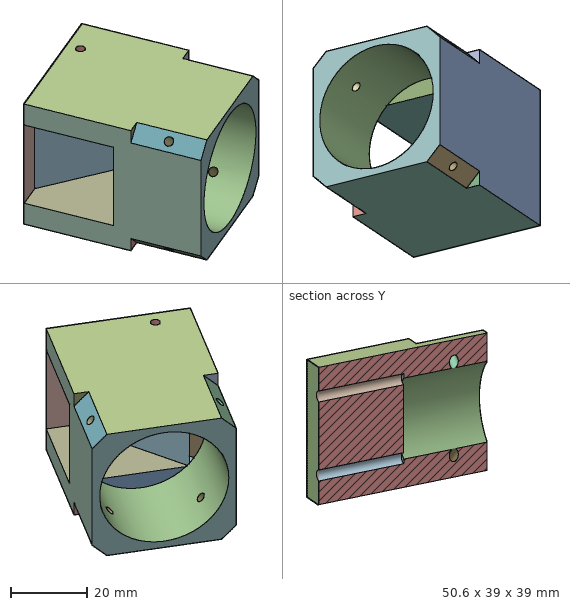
import cadquery as cq
import math

length = 50.6
width = 39.0
half_width = width / 2

cover_thickness = 0.2
housing_start = cover_thickness

prism_leg = 25.4
prism_front_y = -12.45
prism_back_y = prism_front_y + prism_leg
pocket_end_x = housing_start + prism_leg
relief_radius = 1.5

bore_radius = 17.45
chamfer_start_x = 30.6
chamfer_size = 4.0
chamfer_length = length - chamfer_start_x

screw_diameter = 2.55
prism_screw_x = 4.15
prism_screw_y = 9.0
bore_screw_x = chamfer_start_x + chamfer_length / 2


def along_x(start_x):
    """Sketch plane facing +X, with local axes along Y and Z."""
    return cq.Workplane("YZ", origin=(start_x, 0, 0))


def make_prism_pocket():
    """Pocket open to the -X and -Y sides, with round reliefs in its back corners."""
    pocket_depth_y = prism_back_y + half_width
    pocket = cq.Workplane("XY").box(prism_leg, pocket_depth_y, prism_leg).translate(
        (housing_start + prism_leg / 2, prism_back_y - pocket_depth_y / 2, 0)
    )
    relief_z = prism_leg / 2 - relief_radius
    reliefs = (
        along_x(housing_start)
        .pushPoints([(prism_back_y, -relief_z), (prism_back_y, relief_z)])
        .circle(relief_radius)
        .extrude(prism_leg)
    )
    return pocket.union(reliefs)


def make_corner_cut(angle):
    """Chamfer of one long edge in the rear section, turned to its corner."""
    edge = half_width
    return (
        along_x(chamfer_start_x)
        .polyline([(edge, edge), (edge - chamfer_size, edge), (edge, edge - chamfer_size)])
        .close()
        .extrude(chamfer_length)
        .rotate((0, 0, 0), (1, 0, 0), angle)
    )


def make_bore_screw_hole(angle):
    """Radial hole from a chamfer into the bore."""
    corner_distance = half_width * math.sqrt(2)
    return (
        cq.Workplane("XY", origin=(bore_screw_x, 0, 0))
        .circle(screw_diameter / 2)
        .extrude(corner_distance)
        .rotate((0, 0, 0), (1, 0, 0), angle - 45)
    )


def make_housing():
    housing = along_x(housing_start).rect(width, width).extrude(length - housing_start)
    housing = housing.cut(make_prism_pocket())
    housing = housing.cut(along_x(pocket_end_x).circle(bore_radius).extrude(length - pocket_end_x))
    for angle in (0, 90, 180, 270):
        housing = housing.cut(make_corner_cut(angle))
        housing = housing.cut(make_bore_screw_hole(angle))
    prism_screw_hole = (
        cq.Workplane("XY", origin=(prism_screw_x, prism_screw_y, prism_leg / 2))
        .circle(screw_diameter / 2)
        .extrude(half_width - prism_leg / 2)
    )
    return housing.cut(prism_screw_hole)


def make_prism():
    """Right-angle prism whose slanted face turns light from -Y toward +X."""
    return (
        cq.Workplane("XY", origin=(0, 0, -prism_leg / 2))
        .moveTo(housing_start, prism_front_y)
        .lineTo(pocket_end_x, prism_back_y)
        .lineTo(housing_start, prism_back_y)
        .close()
        .extrude(prism_leg)
    )


def make_cover():
    return along_x(0).rect(width, width).extrude(cover_thickness)


housing = make_housing()
prism = make_prism()
cover = make_cover()

result = cq.Compound.makeCompound([housing.val(), prism.val(), cover.val()])